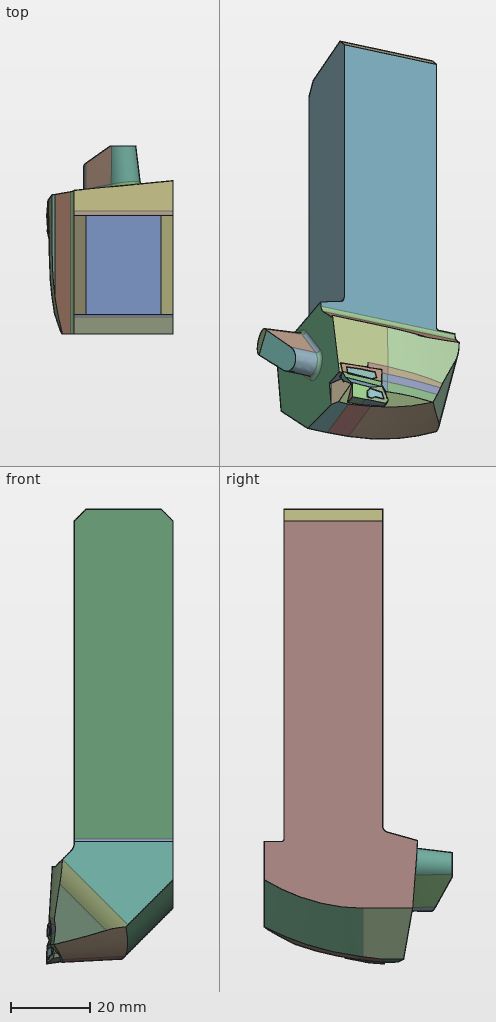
import cadquery as cq
import math


shank_size = 25.0
total_height = 115.0
shank_chamfer = 3.0

front_step = 5.0
front_y = -front_step
front_step_z = 31.0
front_step_fillet = 0.6
rear_slope_z = 33.7
rear_slope = 0.28
rear_slope_fillet = 1.6

shoulder_z = 29.4
shoulder_fillet = 3.0
ledge_z = 24.6

rear_y = 29.0
rear_x_slope = 0.1
rear_z_slope = 0.075
rear_face_height = 41.0

left_x = -5.55
left_tilt = 3.5
left_arc_radius = 86.0
left_arc_y = 15.5
bottom_z = 0.2
bottom_y = 25.0
bottom_tilt = 3.0
bottom_rise = 0.12
bottom_arc_radius = 70.0
bottom_arc_y = 19.0
flank_distance = 7.7
flank_arc_radius = 64.0
flank_arc_y = 20.0

bevel_distance = 14.0
bevel_slope = 0.56
bevel_fillet = 10.0

relief_top_z = 12.0
relief_depth = 0.8
relief_lean = 11.0
relief_fillet = 9.0
relief_arc_radius = 100.0
relief_start_y = 21.0

corner_bevel_front = (-5.7, 2.4, 5.5)
corner_bevel_high = (-5.7, 15.0, 4.3)
corner_bevel_low = (-3.4, 15.0, 1.9)

stud_end_y = shank_size + 17.6
stud_base_y = 31.0
stud_low = (5.6, 16.5)
stud_low_radius = 3.2
stud_end_high = (12.2, 24.8)
stud_end_radius = 3.4
stud_base_high = (12.8, 25.4)
stud_base_radius = 4.2
stud_root_y = 26.0
stud_half_length = 10.0
stud_fillet = 1.0
stud_cut_point = (2.8, 38.1, 18.0)
stud_cut_x_slope = 0.276
stud_cut_z_slope = 0.33

tip_x = -7.0
tip_y = 25.4
seat_x = -3.4
insert_blank_length = 10.0
insert_front_y = 15.0
insert_notch_y = 17.1
insert_rear_y = 28.5
insert_turn = 4.0
groove_z = 6.0
insert_rise = 8.0
pad_height = 0.2
flank_facet_y = 21.6
flank_facet_rear_x = -6.8
flank_facet_front_x = -5.1
chip_top_z = 7.0
chip_rear_x = -1.0
chip_rear_y = 29.0

reach = 200.0
head_reach = 45.0
overrun = 1.0


def edge_at(x, y, z):
    return cq.selectors.NearestToPointSelector((x, y, z))


def side_profile():
    """Shank and head as a YZ profile, extruded over the whole width."""
    rear_limit = 40.0
    rear_drop = rear_slope * (rear_limit - shank_size)
    body = (
        cq.Workplane("YZ", origin=(-shank_size, 0, 0))
        .moveTo(front_y, -front_step)
        .lineTo(front_y, front_step_z)
        .lineTo(0, front_step_z)
        .lineTo(0, total_height)
        .lineTo(shank_size, total_height)
        .lineTo(shank_size, rear_slope_z)
        .lineTo(rear_limit, rear_slope_z - rear_drop)
        .lineTo(rear_limit, -front_step)
        .close()
        .extrude(2 * shank_size)
    )
    body = body.edges(edge_at(0, 0, front_step_z)).fillet(front_step_fillet)
    return body.edges(edge_at(0, shank_size, rear_slope_z)).fillet(rear_slope_fillet)


def front_profile():
    """Shank and head as an XZ profile, extruded over the whole depth."""
    left_limit = -shank_size
    body = (
        cq.Workplane("XZ", origin=(0, -reach / 2, 0))
        .moveTo(shank_chamfer, total_height)
        .lineTo(shank_size - shank_chamfer, total_height)
        .lineTo(shank_size, total_height - shank_chamfer)
        .lineTo(shank_size, -front_step)
        .lineTo(left_limit, -front_step)
        .lineTo(left_limit, ledge_z)
        .lineTo(ledge_z - shoulder_z, ledge_z)
        .lineTo(0, shoulder_z)
        .lineTo(0, total_height - shank_chamfer)
        .close()
        .extrude(-reach)
    )
    return body.edges(edge_at(0, 0, shoulder_z)).fillet(shoulder_fillet)


def clearance_waste(plane, level, rise, arc_y, radius):
    """Waste outside a clearance surface.

    On the plane, local x runs along Y and local y points into the part. The surface is a line
    from bottom_y to arc_y, level behind bottom_y, and a tangent arc from arc_y to the front.
    """
    rear = 60.0
    outside = -30.0
    angle = math.atan(rise)
    arc_level = level - rise * arc_y
    centre_y = arc_y + radius * math.sin(angle)
    centre_level = arc_level + radius * math.cos(angle)
    front = front_y - overrun

    def arc_point(y):
        return (y, centre_level - math.sqrt(radius**2 - (y - centre_y) ** 2))

    return (
        cq.Workplane(plane)
        .moveTo(rear, outside)
        .lineTo(rear, level - rise * bottom_y)
        .lineTo(bottom_y, level - rise * bottom_y)
        .lineTo(arc_y, arc_level)
        .threePointArc(arc_point((arc_y + front) / 2), arc_point(front))
        .lineTo(front, outside)
        .close()
        .extrude(head_reach, both=True)
    )


def tilted_plane(origin, inward_angle):
    """Plane with local x along Y and local y at the given angle from X towards Z."""
    angle = math.radians(inward_angle)
    inward = cq.Vector(math.cos(angle), 0, math.sin(angle))
    along = cq.Vector(0, 1, 0)
    return cq.Plane(origin=origin, xDir=along, normal=along.cross(inward))


def rear_waste():
    plane = cq.Plane(
        origin=(0, rear_y, 0), xDir=(1, rear_x_slope, 0), normal=(-rear_x_slope, 1, -rear_z_slope)
    )
    return cq.Workplane(plane).rect(reach, 2 * rear_face_height).extrude(shank_size)


def bevel_waste():
    """Waste in front of the bevel, which a large fillet blends into the front face."""
    plane = tilted_plane((0, 0, 0), 45)
    low = bevel_distance - head_reach
    corner_angle = math.atan(bevel_slope)
    tangent = bevel_fillet * math.tan(corner_angle / 2)
    run = tangent * math.cos(corner_angle)
    arc_end = (front_y + run * bevel_slope, bevel_distance - run)
    sweep_mid = corner_angle / 2
    arc_mid = (
        front_y + bevel_fillet * (1 - math.cos(sweep_mid)),
        bevel_distance + tangent - bevel_fillet * math.sin(sweep_mid),
    )
    return (
        cq.Workplane(plane)
        .moveTo(front_y, bevel_distance + tangent)
        .threePointArc(arc_mid, arc_end)
        .lineTo(front_y + bevel_slope * (bevel_distance - low), low)
        .lineTo(front_y - overrun, low)
        .lineTo(front_y - overrun, bevel_distance + tangent)
        .close()
        .extrude(reach / 2, both=True)
    )


def left_waste(depth, arc_radius):
    """Waste outside the left face, or outside a like surface that lies deeper in the part."""
    plane = tilted_plane((left_x, 0, ledge_z), -left_tilt)
    return clearance_waste(plane, depth, 0, left_arc_y, arc_radius)


def relief_waste():
    """Shallow step along the lower left face.

    Its wall leans inwards from the top, then a fillet turns it parallel to the face.
    """
    face_x = left_x - (ledge_z - relief_top_z) * math.tan(math.radians(left_tilt))
    lean_plane = tilted_plane((face_x, 0, relief_top_z), relief_lean)
    leaning = clearance_waste(lean_plane, 0, 0, left_arc_y, relief_arc_radius)
    front_block = cq.Workplane("XY", origin=(0, relief_start_y - reach / 2, 0)).box(reach, reach, reach)
    corner_z = relief_top_z - relief_depth / math.tan(math.radians(relief_lean + left_tilt))
    waste = leaning.intersect(left_waste(relief_depth, relief_arc_radius)).intersect(front_block)
    corner_y = (left_arc_y + relief_start_y) / 2
    corner = edge_at(face_x + relief_depth, corner_y, corner_z)
    return waste.edges(corner).fillet(relief_fillet)


def corner_bevel_waste():
    high = cq.Vector(*corner_bevel_high)
    along = cq.Vector(*corner_bevel_front) - high
    across = cq.Vector(*corner_bevel_low) - high
    plane = cq.Plane(origin=corner_bevel_high, xDir=along, normal=across.cross(along))
    length = high.y - front_y
    return cq.Workplane(plane).rect(2 * length, 2 * length).extrude(length)


def stud_section(y, high, high_radius):
    """Two round ends joined by their common tangents, in the XZ plane at the given Y."""
    dx = high[0] - stud_low[0]
    dz = high[1] - stud_low[1]
    lean = math.atan2(dz, dx)
    spread = math.acos((stud_low_radius - high_radius) / math.hypot(dx, dz))

    def on_round(centre, radius, angle):
        return cq.Vector(centre[0] + radius * math.cos(angle), y, centre[1] + radius * math.sin(angle))

    low = [on_round(stud_low, stud_low_radius, lean + a) for a in (spread, math.pi, -spread)]
    top = [on_round(high, high_radius, lean + a) for a in (-spread, 0, spread)]
    return cq.Wire.assembleEdges([
        cq.Edge.makeThreePointArc(*low),
        cq.Edge.makeLine(low[2], top[0]),
        cq.Edge.makeThreePointArc(*top),
        cq.Edge.makeLine(top[2], low[0]),
    ])


def make_stud():
    share = (stud_end_y - stud_root_y) / (stud_end_y - stud_base_y)
    root_high = [e + (b - e) * share for e, b in zip(stud_end_high, stud_base_high)]
    root_radius = stud_end_radius + (stud_base_radius - stud_end_radius) * share
    root = stud_section(stud_root_y, root_high, root_radius)
    end = stud_section(stud_end_y, stud_end_high, stud_end_radius)
    stud = cq.Workplane(cq.Solid.makeLoft([root, end], True))
    cut_plane = cq.Plane(
        origin=stud_cut_point,
        xDir=(1, stud_cut_x_slope, 0),
        normal=(-stud_cut_x_slope, 1, -stud_cut_z_slope),
    )
    return stud.cut(cq.Workplane(cut_plane).rect(reach, reach).extrude(shank_size))


def insert_prism(outline):
    """YZ outline extruded from the seat outwards, past the tip."""
    return cq.Workplane("YZ", origin=(seat_x, 0, 0)).polyline(outline).close().extrude(-insert_blank_length)


def make_insert_blank():
    """Insert before its outer face is shaped, with a bottom that rises inwards from the tip."""
    outline = [
        (tip_y, 0), (21.8, 0.2), (15.5, 1.2), (insert_front_y, 2.4), (insert_notch_y, 6.2),
        (insert_notch_y, 10.7), (insert_rear_y, 9.7), (28.0, 6.9), (tip_y, 3.9),
    ]
    return insert_prism(outline).rotate((tip_x, 0, 0), (tip_x, 1, 0), -insert_rise)


def outer_face(raise_by):
    """Space inside the outer face of the insert, or inside the same face raised by a height.

    Two lands with a groove between them recede slightly from the tip towards the front, and a
    facet below the groove recedes further.
    """
    face_top_z = 12.0
    land = [
        (-6.4, face_top_z), (-6.6, 7.2), (-6.2, groove_z), (-6.9, 4.4), (tip_x, 0), (tip_x, -overrun),
    ]
    raised_land = [(x - raise_by, z) for x, z in land]
    section = [(0, -overrun), (0, face_top_z)] + raised_land
    space = cq.Workplane("XZ").polyline(section).close().extrude(-reach)
    space = space.rotate((tip_x, tip_y, 0), (tip_x, tip_y, 1), insert_turn)
    outside = tip_x - 2 * overrun
    facet_corners = [(flank_facet_rear_x, flank_facet_y), (flank_facet_front_x, insert_front_y)]
    facet = [(x - raise_by, y) for x, y in facet_corners]
    facet_waste = (
        cq.Workplane("XY", origin=(0, 0, -overrun))
        .polyline(facet + [(outside, insert_front_y), (outside, flank_facet_y)])
        .close()
        .extrude(groove_z + overrun)
    )
    return space.cut(facet_waste)


def make_insert():
    """Insert with one raised pad on each land."""
    blank = make_insert_blank()
    upper_pad = [(26.7, 7.0), (26.9, 8.9), (23.0, 9.4), (19.0, 9.6), (18.6, 8.0), (20.0, 7.2)]
    lower_pad = [(20.5, 4.0), (17.0, 4.2), (16.4, 2.4), (19.0, 2.0), (20.0, 1.2), (21.4, 1.1), (21.4, 2.8)]
    insert = blank.intersect(outer_face(0))
    raised_space = outer_face(pad_height).intersect(blank)
    for outline in (upper_pad, lower_pad):
        insert = insert.union(insert_prism(outline).intersect(raised_space))
    return insert


def chip_waste():
    """Wedge behind the cutting edge that lets the chip escape."""
    outside = tip_x - overrun
    beyond_rear = chip_rear_y + 2 * overrun
    return (
        cq.Workplane("XY", origin=(0, 0, -overrun))
        .moveTo(outside, tip_y)
        .lineTo(tip_x, tip_y)
        .lineTo(chip_rear_x, chip_rear_y)
        .lineTo(chip_rear_x, beyond_rear)
        .lineTo(outside, beyond_rear)
        .close()
        .extrude(chip_top_z + overrun)
    )


class StudRoot(cq.Selector):
    """Edges where the stud meets the rear face of the head."""

    def filter(self, edges):
        middle_x = (stud_low[0] + stud_base_high[0]) / 2
        middle_z = (stud_low[1] + stud_base_high[1]) / 2
        tolerance = 0.05

        def on_root(edge):
            centre = edge.Center()
            rear = rear_y + rear_x_slope * centre.x + rear_z_slope * centre.z
            from_middle = math.hypot(centre.x - middle_x, centre.z - middle_z)
            return abs(centre.y - rear) < tolerance and from_middle < stud_half_length

        return [e for e in edges if on_root(e)]


def make_holder():
    body = side_profile().intersect(front_profile())
    body = body.cut(rear_waste())
    body = body.union(make_stud())
    body = body.edges(StudRoot()).fillet(stud_fillet)
    bottom_level = bottom_rise * bottom_y
    bottom = clearance_waste(
        tilted_plane((tip_x, 0, bottom_z), 90 + bottom_tilt), bottom_level, bottom_rise,
        bottom_arc_y, bottom_arc_radius,
    )
    flank = clearance_waste(tilted_plane((0, 0, 0), 135), -flank_distance, 0, flank_arc_y, flank_arc_radius)
    wastes = [
        left_waste(0, left_arc_radius), bottom, flank, bevel_waste(), relief_waste(),
        corner_bevel_waste(), chip_waste(), make_insert_blank(),
    ]
    for waste in wastes:
        body = body.cut(waste)
    return body


holder = make_holder()
insert = make_insert()
result = cq.Compound.makeCompound([holder.val(), insert.val()])